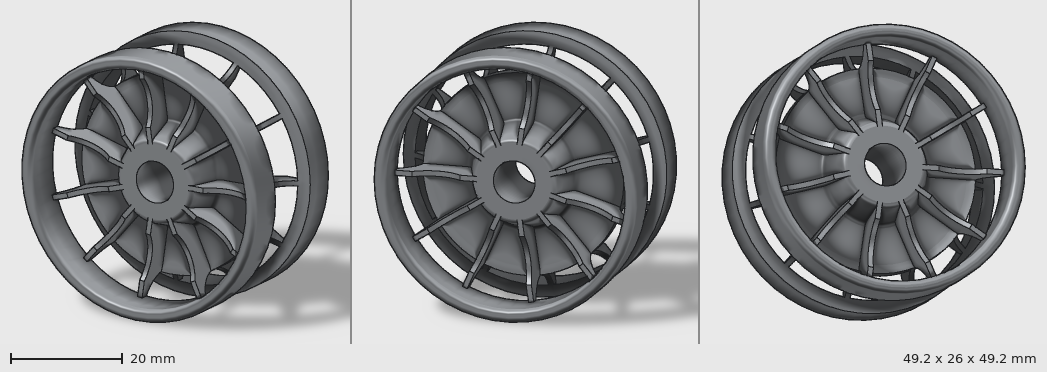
import cadquery as cq
import math

outer_radius = 24.6
half_width = 26.0 / 2

rim_inner_radius = 22.22
rim_fillet = 1.0

groove_radius = 6.0

web_half_thickness = 1.0
lip_sweep_radius = 5.0
lip_half_thickness = 1.25
lip_radius = outer_radius - math.sqrt(groove_radius**2 - lip_half_thickness**2)
lip_rise = lip_half_thickness - web_half_thickness
lip_sweep_length = math.sqrt(lip_sweep_radius**2 - (lip_sweep_radius - lip_rise) ** 2)
web_flat_radius = lip_radius - lip_sweep_length
lip_stock = 0.5

hub_half_length = 7.0
hub_tip_radius = 7.7
hub_root_radius = 9.85
hub_fillet = 1.0
bore_radius = 3.9

rib_count = 11
rib_thickness = 1.0
rib_dip_start = 10.1
rib_dip_end = 19.05
rib_dip_depth = 1.55
rib_embed = 0.25


def revolve_about_axle(profile):
    """Turn an (X, Y) profile all the way round the Y axis."""
    return profile.close().revolve(360, (0, 0), (0, 1))


def both_sides(solid):
    """Join a solid that lies at Y <= 0 with its mirror image."""
    return solid.union(solid.mirror("XZ"))


def ring_edges(solid, radius, y):
    """Circular edges of the given radius at the given place along the axle."""
    tolerance = 0.0005

    def matches(edge):
        if edge.geomType() != "CIRCLE":
            return False
        same_radius = abs(edge.radius() - radius) < tolerance
        return same_radius and abs(edge.Center().y - y) < tolerance

    return solid.edges().filter(matches)


def make_groove():
    circle = cq.Workplane("XY").center(outer_radius, 0).circle(groove_radius)
    return circle.revolve(360, (-outer_radius, 0), (-outer_radius, 1))


def make_rim():
    """Rim on the -Y side; the groove later cuts its inner edge."""
    profile = (
        cq.Workplane("XY")
        .moveTo(rim_inner_radius, -half_width)
        .lineTo(outer_radius, -half_width)
        .lineTo(outer_radius, 0)
        .lineTo(rim_inner_radius, 0)
    )
    rim = revolve_about_axle(profile)
    for radius in (rim_inner_radius, outer_radius):
        rim = ring_edges(rim, radius, -half_width).fillet(rim_fillet)
    return rim


def make_hub_and_web():
    """Half of the hub and web on the -Y side, without the bore."""
    profile = (
        cq.Workplane("XY")
        .moveTo(0, 0)
        .lineTo(0, -hub_half_length)
        .lineTo(hub_tip_radius, -hub_half_length)
        .lineTo(hub_root_radius, -web_half_thickness)
        .lineTo(web_flat_radius, -web_half_thickness)
        .tangentArcPoint((lip_radius, -lip_half_thickness), relative=False)
        .lineTo(lip_radius + lip_stock, -lip_half_thickness)
        .lineTo(lip_radius + lip_stock, 0)
    )
    hub = revolve_about_axle(profile)
    hub = ring_edges(hub, hub_tip_radius, -hub_half_length).fillet(hub_fillet)
    return ring_edges(hub, hub_root_radius, -web_half_thickness).fillet(hub_fillet)


def make_ribs():
    """Radial ribs on the -Y side, each dished by an arc along its outer edge."""
    rib = (
        cq.Workplane("XY")
        .moveTo(bore_radius, 0)
        .lineTo(bore_radius, -hub_half_length)
        .lineTo(rib_dip_start, -hub_half_length)
        .threePointArc(
            ((rib_dip_start + rib_dip_end) / 2, -hub_half_length + rib_dip_depth),
            (rib_dip_end, -hub_half_length),
        )
        .lineTo(rim_inner_radius + rib_embed, -hub_half_length)
        .lineTo(rim_inner_radius + rib_embed, 0)
        .close()
        .extrude(rib_thickness / 2, both=True)
    )
    ribs = rib
    for index in range(1, rib_count):
        angle = index * 360 / rib_count
        ribs = ribs.union(rib.rotate((0, 0, 0), (0, 1, 0), angle))
    return ribs


half_wheel = make_hub_and_web().union(make_ribs()).union(make_rim())
bore = cq.Workplane("XZ").circle(bore_radius).extrude(half_width, both=True)
result = both_sides(half_wheel).cut(make_groove()).cut(bore)